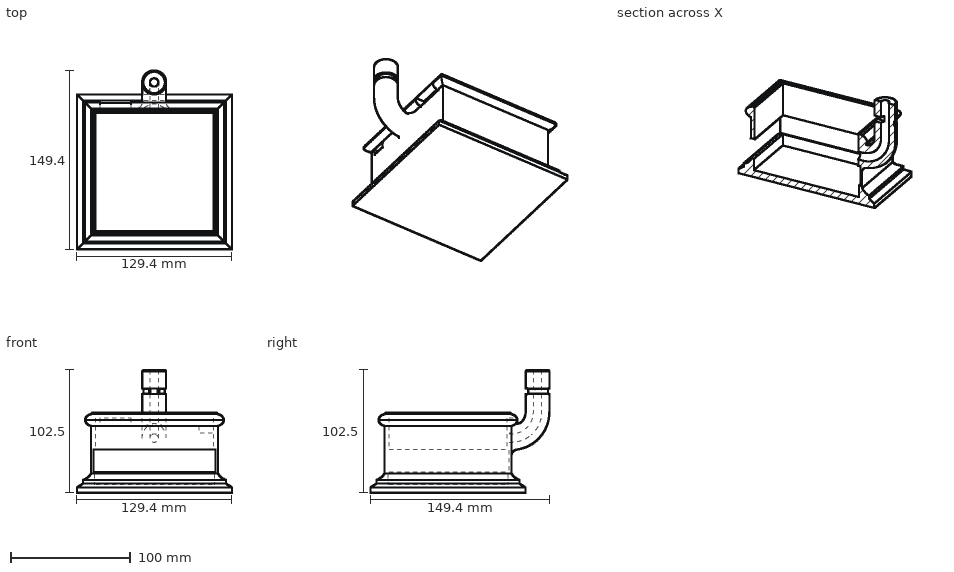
import cadquery as cq
import math

base_half = 64.7
base_edge_top = 4.5
step_half = 59.8
step_bottom = 7.8
step_top = 10.8
wall_half = 53.0
wall_bottom = 16.1
cove_radius = 12.0
bead_overhang = 5.1
bead_arc_radius = 6.3
bead_bottom = 55.9
bead_widest_z = 60.7
bead_top = 65.8
rim_half = 51.5
rim_top = 67.3

floor_top = 7.0
well_half = 50.0
sill_z = 17.6
lower_half = 51.0
lower_top = 36.0
upper_half = 49.2
lid_seat_z = 66.2
lid_seat_half = 50.2

left_slot_x = (-45.3, -19.6)
left_slot_z = (55.6, 62.6)
right_slot_x = (37.4, upper_half)
right_slot_z = (50.1, 55.6)

pipe_radius = 10.0
bore_radius = 7.0 / 2
bend_radius = 21.7
bend_top = 67.4
pipe_top = 102.5
pipe_x = -0.3
pipe_y = wall_half + bend_radius
inlet_z = bend_top - bend_radius
root_fillet = 5.0
groove_bottom = 82.4
groove_top = 87.3
groove_depth = 1.0
pipe_chamfer = 1.0
groove_chamfer = 0.7
mouth_front_half = 4.3
mouth_back_half = 2.8


def square_prism(half, bottom, top):
    """Square block centred on the Z axis."""
    return (
        cq.Workplane("XY")
        .workplane(offset=bottom)
        .rect(2 * half, 2 * half)
        .extrude(top - bottom)
    )


def range_box(x_range, y_range, z_range):
    """Box given by its limits along each axis."""
    size = [high - low for low, high in (x_range, y_range, z_range)]
    return cq.Workplane("XY").box(*size, centered=False).translate(
        (x_range[0], y_range[0], z_range[0])
    )


def moulding_bar():
    """Moulding outline in XZ, extruded over the full depth of the base."""
    half_outline = (
        cq.Workplane("XZ", origin=(0, base_half, 0))
        .moveTo(0, 0)
        .lineTo(base_half, 0)
        .lineTo(base_half, base_edge_top)
        .lineTo(step_half, step_bottom)
        .lineTo(step_half, step_top)
        .radiusArc((wall_half, wall_bottom), cove_radius)
        .lineTo(wall_half, bead_bottom)
        .radiusArc((wall_half + bead_overhang, bead_widest_z), -bead_arc_radius)
        .radiusArc((wall_half, bead_top), -bead_arc_radius)
        .lineTo(rim_half, rim_top)
        .lineTo(0, rim_top)
        .close()
    )
    right_half = half_outline.extrude(2 * base_half)
    return right_half.union(right_half.mirror("YZ"))


def moulded_body():
    """Two crossed moulding bars leave mitred corners where they overlap."""
    bar = moulding_bar()
    return bar.intersect(bar.rotate((0, 0, 0), (0, 0, 1), 90))


def elbow_sweep(radius):
    """Round bar following the quarter bend from the back wall up to vertical."""
    return (
        cq.Workplane("XZ", origin=(0, wall_half, 0))
        .center(pipe_x, inlet_z)
        .circle(radius)
        .revolve(90, (-radius, bend_radius, 0), (radius, bend_radius, 0))
    )


def rooted_elbow():
    """Elbow on a wall block, with a fillet where it meets the wall."""
    block = square_prism(wall_half, wall_bottom, bead_top)
    joined = block.union(elbow_sweep(pipe_radius))
    root = cq.selectors.NearestToPointSelector((pipe_x, wall_half, inlet_z - pipe_radius))
    return joined.edges(root).fillet(root_fillet)


def upright_pipe():
    """Straight pipe with a chamfered top and a grooved neck."""
    neck_radius = pipe_radius - groove_depth
    foot_radius = neck_radius + groove_chamfer
    return (
        cq.Workplane("XZ")
        .moveTo(0, bend_top)
        .lineTo(pipe_radius, bend_top)
        .lineTo(pipe_radius, groove_bottom)
        .lineTo(foot_radius, groove_bottom)
        .lineTo(neck_radius, groove_bottom + groove_chamfer)
        .lineTo(neck_radius, groove_top - groove_chamfer)
        .lineTo(foot_radius, groove_top)
        .lineTo(pipe_radius, groove_top)
        .lineTo(pipe_radius, pipe_top - pipe_chamfer)
        .lineTo(pipe_radius - pipe_chamfer, pipe_top)
        .lineTo(0, pipe_top)
        .close()
        .revolve(360, (0, 0, 0), (0, 1, 0))
        .translate((pipe_x, pipe_y, 0))
    )


def whistle_bore():
    """Air passage from the cavity through the elbow to the pipe top."""
    inlet = (
        cq.Workplane("XZ", origin=(0, wall_half, 0))
        .center(pipe_x, inlet_z)
        .circle(bore_radius)
        .extrude(2 * (wall_half - upper_half))
    )
    riser = (
        cq.Workplane("XY", origin=(pipe_x, pipe_y, bend_top))
        .circle(bore_radius)
        .extrude(pipe_top - bend_top)
    )
    return inlet.union(elbow_sweep(bore_radius)).union(riser)


def whistle_mouth():
    """Notch through the front of the neck, narrowing towards the bore."""
    neck_radius = pipe_radius - groove_depth
    front_y = -math.sqrt(neck_radius**2 - mouth_front_half**2)
    back_y = -math.sqrt(bore_radius**2 - mouth_back_half**2)
    return (
        cq.Workplane("XY", origin=(pipe_x, pipe_y, groove_bottom))
        .moveTo(-mouth_back_half, back_y)
        .lineTo(-mouth_front_half, front_y)
        .lineTo(-mouth_front_half, -pipe_radius)
        .lineTo(mouth_front_half, -pipe_radius)
        .lineTo(mouth_front_half, front_y)
        .lineTo(mouth_back_half, back_y)
        .close()
        .extrude(groove_top - groove_bottom)
    )


def cavity():
    """Open-topped inside of the box, built up in levels."""
    levels = [
        (well_half, floor_top, sill_z),
        (lower_half, sill_z, lower_top),
        (upper_half, lower_top, lid_seat_z),
        (lid_seat_half, lid_seat_z, rim_top),
    ]
    space = square_prism(*levels[0])
    for level in levels[1:]:
        space = space.union(square_prism(*level))
    return space


def front_window():
    """Opening through the front wall, as wide as the lower cavity."""
    return range_box((-lower_half, lower_half), (-wall_half, 0), (sill_z, lower_top))


def back_slot(x_range, z_range):
    """Opening through the back wall and its bead."""
    return range_box(x_range, (0, wall_half + bead_overhang), z_range)


result = (
    moulded_body()
    .union(rooted_elbow())
    .union(upright_pipe())
    .cut(cavity())
    .cut(front_window())
    .cut(back_slot(left_slot_x, left_slot_z))
    .cut(back_slot(right_slot_x, right_slot_z))
    .cut(whistle_bore())
    .cut(whistle_mouth())
)